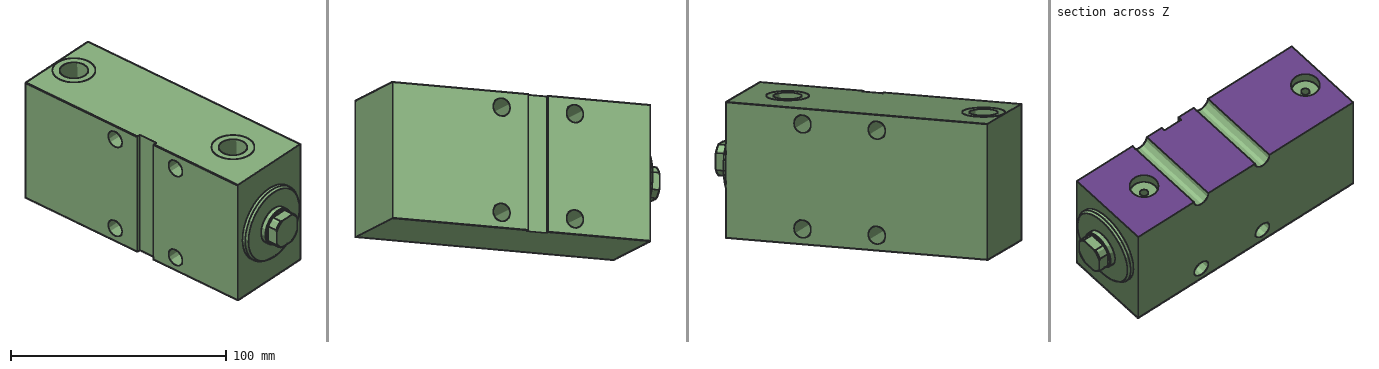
import cadquery as cq

housing_length = 130.0
housing_depth = 45.0
housing_height = 65.0
edge_chamfer = 0.3

keyway_x = 73.5
keyway_width = 10.0
keyway_depth = 2.0
mounting_hole_diameter = 8.5
mounting_hole_spacing_x = 37.0
mounting_hole_spacing_z = 50.0

port_centers_x = (10.5, 107.9)
spotface_diameter = 20.0
spotface_depth = 0.1
port_diameter = 13.3
port_depth = 12.0
port_drill_diameter = 4.0

flange_diameter = 38.0
flange_thickness = 3.0
flange_chamfer_length = 1.3
flange_chamfer_radial = 0.8
shank_diameter = 22.0
shank_length = 32.0

stem_diameter = 10.0
stem_start_x = 5.0
collar_diameter = 18.3
collar_thickness = 3.0
collar_chamfer = 0.4
head_round_diameter = 16.9
head_across_flats = 14.8
head_chamfer = 0.4
overall_length = 141.0

shank_start_x = housing_length - shank_length
flange_end_x = housing_length + flange_thickness
collar_end_x = flange_end_x + collar_thickness
head_length = overall_length - collar_end_x


def cylinder_along_x(diameter, start_x, end_x):
    """Solid cylinder on the X axis between two X positions."""
    return cq.Workplane("YZ", origin=(start_x, 0, 0)).circle(diameter / 2).extrude(end_x - start_x)


def revolve_about_x(points):
    """Solid of revolution about the X axis from (x, radius) points in the XZ plane."""
    return cq.Workplane("XZ").polyline(points).close().revolve(360, (0, 0, 0), (1, 0, 0))


def make_port(center_x):
    """Cutter for one port: shallow spotface, flat-bottomed bore and a drill down to the main bore."""
    top = cq.Workplane("XY", origin=(center_x, 0, housing_height / 2))
    spotface = top.circle(spotface_diameter / 2).extrude(-spotface_depth)
    bore = top.circle(port_diameter / 2).extrude(-port_depth)
    drill = top.circle(port_drill_diameter / 2).extrude(-housing_height / 2)
    return spotface.union(bore).union(drill)


def make_housing():
    block = cq.Workplane("XY").box(housing_length, housing_depth, housing_height, centered=(False, True, True))
    block = block.edges("|X").chamfer(edge_chamfer)

    keyway = cq.Workplane("XY").box(keyway_width, 2 * keyway_depth, housing_height)
    block = block.cut(keyway.translate((keyway_x, -housing_depth / 2, 0)))

    mounting_holes = (
        cq.Workplane("XZ", origin=(keyway_x, 0, 0))
        .rarray(mounting_hole_spacing_x, mounting_hole_spacing_z, 2, 2)
        .circle(mounting_hole_diameter / 2)
        .extrude(housing_depth, both=True)
    )
    block = block.cut(mounting_holes)

    for center_x in port_centers_x:
        block = block.cut(make_port(center_x))

    block = block.cut(cylinder_along_x(shank_diameter, shank_start_x, housing_length))
    return block.cut(cylinder_along_x(stem_diameter, stem_start_x, shank_start_x))


def make_cap():
    stem_radius = stem_diameter / 2
    shank_radius = shank_diameter / 2
    flange_radius = flange_diameter / 2
    return revolve_about_x([
        (shank_start_x, stem_radius),
        (shank_start_x, shank_radius),
        (housing_length, shank_radius),
        (housing_length, flange_radius),
        (flange_end_x - flange_chamfer_length, flange_radius),
        (flange_end_x, flange_radius - flange_chamfer_radial),
        (flange_end_x, stem_radius),
    ])


def make_screw():
    stem_radius = stem_diameter / 2
    collar_radius = collar_diameter / 2
    shaft = revolve_about_x([
        (stem_start_x, 0),
        (stem_start_x, stem_radius),
        (flange_end_x, stem_radius),
        (flange_end_x, collar_radius),
        (collar_end_x - collar_chamfer, collar_radius),
        (collar_end_x, collar_radius - collar_chamfer),
        (collar_end_x, 0),
    ])

    head = cylinder_along_x(head_round_diameter, collar_end_x, overall_length).faces(">X").chamfer(head_chamfer)
    flats = cq.Workplane("XY").box(
        head_length, head_across_flats, head_across_flats, centered=(False, True, True)
    )
    head = head.intersect(flats.translate((collar_end_x, 0, 0)))
    return shaft.union(head)


housing = make_housing()
cap = make_cap()
screw = make_screw()

result = cq.Compound.makeCompound([housing.val(), cap.val(), screw.val()])